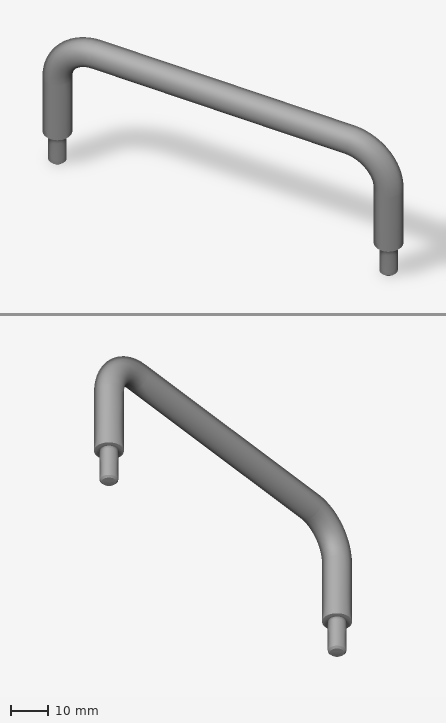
import cadquery as cq

overall_length = 108.0
overall_height = 45.0
rod_diameter = 8.0
bend_radius = 1.5 * rod_diameter
stud_diameter = 5.0
stud_length = 10.0
stud_chamfer = 0.5

leg_x = (overall_length - rod_diameter) / 2
bar_z = overall_height - stud_length - rod_diameter / 2
bend_start_z = bar_z - bend_radius
bar_end_x = leg_x - bend_radius


def make_handle():
    """Round rod swept up one leg, across the bar and down the other leg."""
    centreline = (
        cq.Workplane("XZ")
        .moveTo(-leg_x, 0)
        .lineTo(-leg_x, bend_start_z)
        .tangentArcPoint((-bar_end_x, bar_z), relative=False)
        .lineTo(bar_end_x, bar_z)
        .tangentArcPoint((leg_x, bend_start_z), relative=False)
        .lineTo(leg_x, 0)
    )
    return cq.Workplane("XY").center(-leg_x, 0).circle(rod_diameter / 2).sweep(centreline)


def make_stud(x):
    """Reduced-diameter stud below a leg, chamfered at its free end."""
    return (
        cq.Workplane("XY")
        .center(x, 0)
        .circle(stud_diameter / 2)
        .extrude(-stud_length)
        .faces("<Z")
        .chamfer(stud_chamfer)
    )


result = make_handle()
for stud_x in (-leg_x, leg_x):
    result = result.union(make_stud(stud_x))